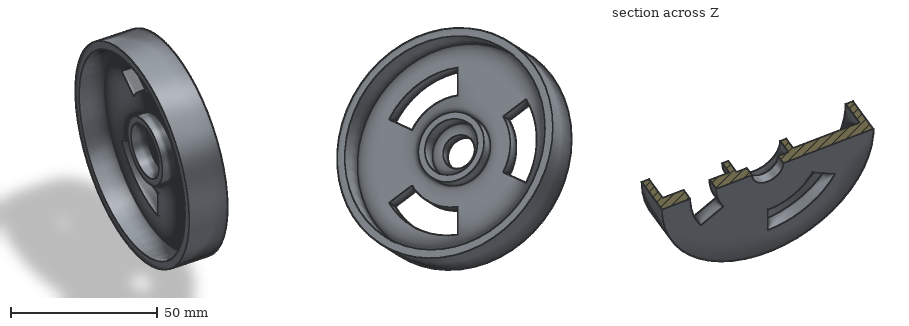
import cadquery as cq

outer_radius = 41.0
width = 15.0
rim_inner_radius = 38.05
web_thickness = 5.0
hub_radius = 12.5
hub_height = 5.0
bearing_radius = 10.0
bearing_depth = 6.0
bore_radius = 6.0
window_inner_radius = 20.0
window_outer_radius = 30.0
window_count = 3
window_angle = 60.0

back_y = width / 2
web_front_y = back_y - web_thickness
hub_front_y = web_front_y - hub_height


def cylinder(radius, start_y, length):
    """Cylinder on the wheel axis, extending from start_y toward +Y."""
    plane = cq.Workplane("XZ", origin=(0, start_y, 0))
    return plane.circle(radius).extrude(-length)


def window(center_angle):
    """Ring sector through the web, centred on an angle measured from +X toward +Z."""
    profile = (
        cq.Workplane("XY")
        .moveTo(window_inner_radius, web_front_y)
        .lineTo(window_outer_radius, web_front_y)
        .lineTo(window_outer_radius, back_y)
        .lineTo(window_inner_radius, back_y)
        .close()
    )
    sector = profile.revolve(window_angle, (0, 0, 0), (0, 1, 0))
    start_angle = center_angle + window_angle / 2
    return sector.rotate((0, 0, 0), (0, 1, 0), -start_angle)


wheel = cylinder(outer_radius, -width / 2, width)
wheel = wheel.cut(cylinder(rim_inner_radius, -width / 2, width - web_thickness))
wheel = wheel.union(cylinder(hub_radius, hub_front_y, hub_height + web_thickness))

wheel = wheel.cut(cylinder(bearing_radius, hub_front_y, bearing_depth))
wheel = wheel.cut(cylinder(bore_radius, hub_front_y, hub_height + web_thickness))

for index in range(window_count):
    wheel = wheel.cut(window(index * 360 / window_count))

result = wheel